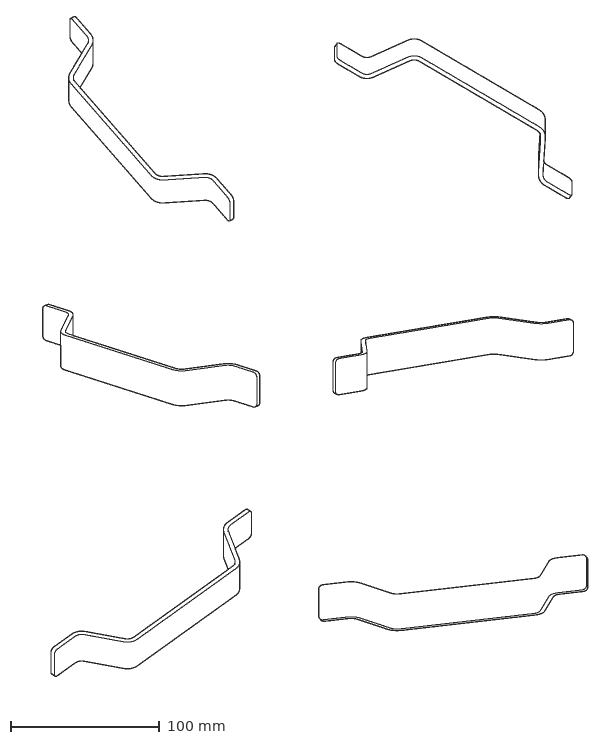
import cadquery as cq
import math

strip_width = 25.4
thickness = 3.175
inside_bend_radius = 6.35
bend_angle = 60.0
grip_inside_length = 101.6
foot_length = 25.4
overall_depth = 34.925
foot_corner_radius = 3.175

outside_bend_radius = inside_bend_radius + thickness
leg_rise = overall_depth - thickness
leg_run = leg_rise / math.tan(math.radians(bend_angle))
corner_shift = thickness * math.tan(math.radians(bend_angle / 2))

grip_inner_x = grip_inside_length / 2
grip_outer_x = grip_inner_x + corner_shift
foot_back_x = grip_inner_x + leg_run
foot_front_x = grip_outer_x + leg_run
tip_x = foot_back_x + foot_length

back_y = 0.0
foot_front_y = -thickness
grip_inner_y = -leg_rise
grip_outer_y = -overall_depth


def make_sharp_strip():
    """Hat-shaped strip with sharp bends, centred on Z = 0."""
    right_side = [
        (grip_outer_x, grip_outer_y),
        (foot_front_x, foot_front_y),
        (tip_x, foot_front_y),
        (tip_x, back_y),
        (foot_back_x, back_y),
        (grip_inner_x, grip_inner_y),
    ]
    left_side = [(-x, y) for x, y in reversed(right_side)]
    return (
        cq.Workplane("XY")
        .polyline(right_side + left_side)
        .close()
        .extrude(strip_width / 2, both=True)
    )


def round_bends(strip, corners, radius):
    """Fillet the bend edges at the given (x, y) corners and their mirror images."""
    points = [(side * x, y, 0) for x, y in corners for side in (-1, 1)]
    edges = strip.newObject([
        strip.edges("|Z").edges(cq.selectors.NearestToPointSelector(point)).val()
        for point in points
    ])
    return edges.fillet(radius)


def round_foot_corners(strip):
    """Round the four corners at the tips of the feet."""
    return strip.faces("<X or >X").edges("|Y").fillet(foot_corner_radius)


inside_corners = [(grip_inner_x, grip_inner_y), (foot_front_x, foot_front_y)]
outside_corners = [(grip_outer_x, grip_outer_y), (foot_back_x, back_y)]

handle = make_sharp_strip()
handle = round_bends(handle, inside_corners, inside_bend_radius)
handle = round_bends(handle, outside_corners, outside_bend_radius)
result = round_foot_corners(handle)